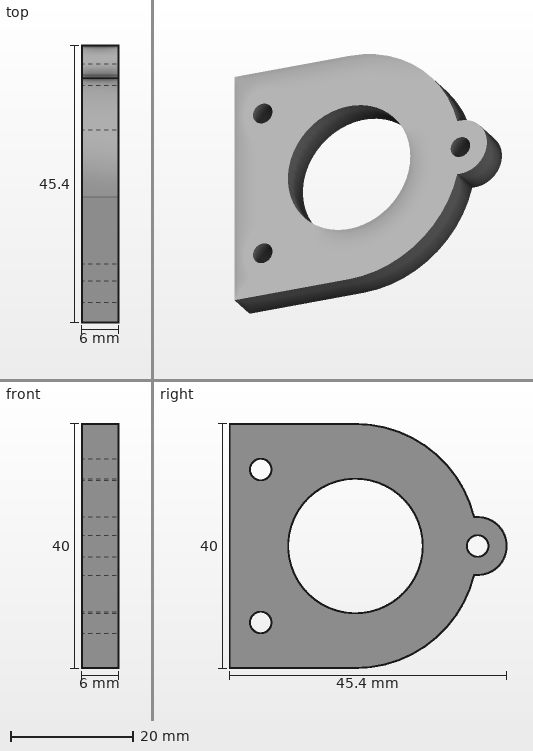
import cadquery as cq

thickness = 6.0
body_radius = 20.0
base_distance = 20.6
length = 45.35
bore_diameter = 22.0
hole_diameter = 3.5
base_hole_y = -15.5
base_hole_z = 12.5

ear_y = body_radius
ear_radius = length - base_distance - ear_y
hole_positions = [(ear_y, 0), (base_hole_y, base_hole_z), (base_hole_y, -base_hole_z)]


def disc(y, z, radius):
    """Cylinder through the plate thickness, centred at (y, z)."""
    return cq.Workplane("YZ").center(y, z).circle(radius).extrude(thickness)


body = (
    cq.Workplane("YZ")
    .moveTo(0, body_radius)
    .lineTo(-base_distance, body_radius)
    .lineTo(-base_distance, -body_radius)
    .lineTo(0, -body_radius)
    .threePointArc((body_radius, 0), (0, body_radius))
    .close()
    .extrude(thickness)
)

flanks = (
    cq.Workplane("YZ")
    .center(ear_y / 2, 0)
    .rect(ear_y, 2 * ear_radius)
    .extrude(thickness)
)
plate = body.union(disc(ear_y, 0, ear_radius)).union(flanks)

plate = plate.cut(disc(0, 0, bore_diameter / 2))
for hole_y, hole_z in hole_positions:
    plate = plate.cut(disc(hole_y, hole_z, hole_diameter / 2))

result = plate